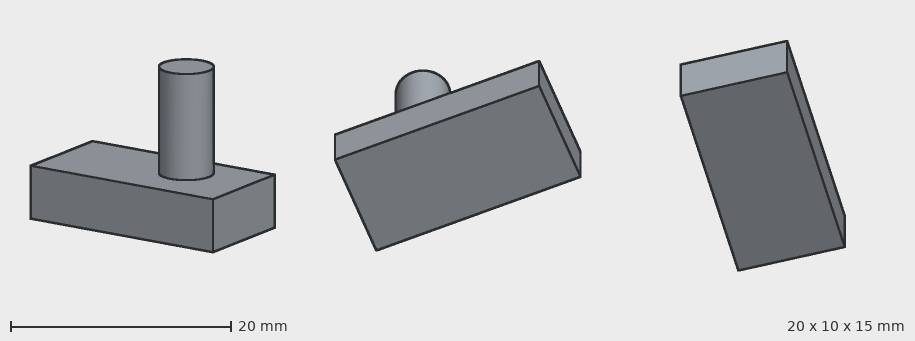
import cadquery as cq

base_length = 20.0
base_width = 10.0
base_height = 5.0

pin_diameter = 5.0
pin_height = 10.0
pin_x = 13.0
pin_y = 6.0


def make_base():
    """Plain rectangular block."""
    return cq.Workplane("XY").box(base_length, base_width, base_height, centered=False)


def make_pin():
    """Upright cylinder resting on the base, off its centre."""
    return (
        cq.Workplane("XY", origin=(pin_x, pin_y, base_height))
        .circle(pin_diameter / 2)
        .extrude(pin_height)
    )


base = make_base()
pin = make_pin()

result = cq.Compound.makeCompound([base.val(), pin.val()])